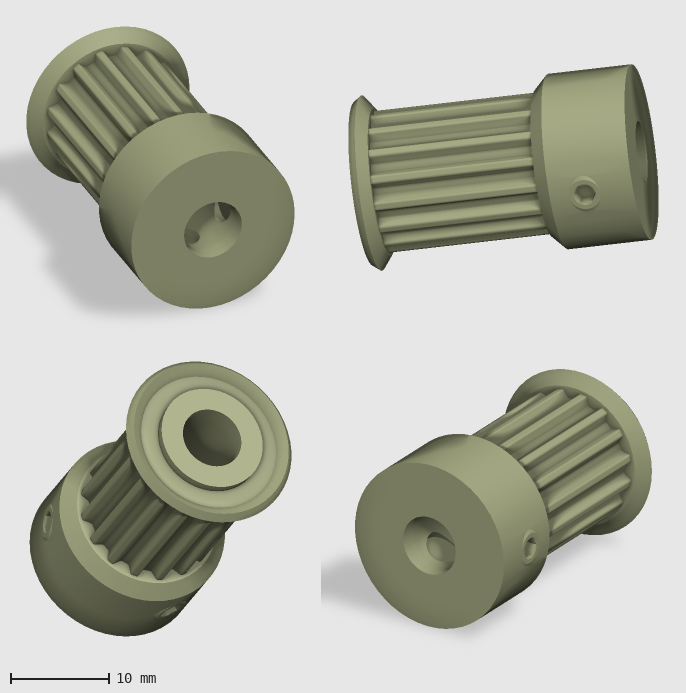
import cadquery as cq
import math


length = 29.0
outer_radius = 18.0 / 2
bore_radius = 6.35 / 2

boss_radius = 11.0 / 2
boss_projection = 0.2
flange_face_radius = 8.4
flange_floor_radius = 7.35
flange_floor_x = 1.05
flange_rim_x = 1.0
flange_back_x = 2.05
flange_back_radius = 7.6

hub_front_x = 18.97
hub_chamfer = 1.4
hub_middle_x = (hub_front_x + length) / 2

tooth_count = 16
tooth_pitch_angle = 360 / tooth_count
tip_radius = 7.25
tip_half_width = 0.2
shoulder_radius = 7.05
shoulder_half_width = 0.45
groove_floor_radius = 6.3
groove_floor_half_width = 0.23
flank_foot_radius = 6.35
flank_foot_half_width = 0.44
tip_round_depth = 0.05
flank_hollow_depth = 0.03
foot_round_depth = 0.015

screw_radius = 4.0 / 2
screw_face_radius = 3.25 / 2
screw_cone_angle = 30
screw_inner_end = 3.34
screw_angles = (0, 240)
socket_across_flats = 2.0
socket_depth = 1.45


def point_from_plane(radius, offset, plane_angle):
    """Point at a radius and a sideways offset from a radial plane at the given angle."""
    angle = math.radians(plane_angle) + math.asin(offset / radius)
    return radius * math.cos(angle), radius * math.sin(angle)


def make_toothed_barrel():
    """Straight-toothed barrel between the flange and the hub."""
    outline = cq.Workplane("YZ", origin=(flange_back_x, 0, 0))
    outline = outline.moveTo(*point_from_plane(groove_floor_radius, -groove_floor_half_width, 0))
    for index in range(tooth_count):
        groove = index * tooth_pitch_angle
        tooth = groove + tooth_pitch_angle / 2
        next_groove = groove + tooth_pitch_angle
        floor_middle = point_from_plane(groove_floor_radius, 0, groove)
        floor_end = point_from_plane(groove_floor_radius, groove_floor_half_width, groove)
        rising_foot = point_from_plane(flank_foot_radius, flank_foot_half_width, groove)
        rising_shoulder = point_from_plane(shoulder_radius, -shoulder_half_width, tooth)
        tip_start = point_from_plane(tip_radius, -tip_half_width, tooth)
        tip_middle = point_from_plane(tip_radius, 0, tooth)
        tip_end = point_from_plane(tip_radius, tip_half_width, tooth)
        falling_shoulder = point_from_plane(shoulder_radius, shoulder_half_width, tooth)
        falling_foot = point_from_plane(flank_foot_radius, -flank_foot_half_width, next_groove)
        next_floor_start = point_from_plane(groove_floor_radius, -groove_floor_half_width, next_groove)
        outline = (
            outline
            .threePointArc(floor_middle, floor_end)
            .sagittaArc(rising_foot, foot_round_depth)
            .sagittaArc(rising_shoulder, flank_hollow_depth)
            .sagittaArc(tip_start, -tip_round_depth)
            .threePointArc(tip_middle, tip_end)
            .sagittaArc(falling_shoulder, -tip_round_depth)
            .sagittaArc(falling_foot, flank_hollow_depth)
            .sagittaArc(next_floor_start, foot_round_depth)
        )
    return outline.close().extrude(hub_front_x - flange_back_x)


def revolve_about_x(points):
    """Solid of revolution about X from (x, radius) points."""
    return cq.Workplane("XY").polyline(points).close().revolve(360, (0, 0, 0), (1, 0, 0))


def make_flange():
    """Flange with a bevelled rim, a dished face and the raised boss."""
    return revolve_about_x([
        (0, 0),
        (0, boss_radius),
        (flange_floor_x, boss_radius),
        (flange_floor_x, flange_floor_radius),
        (boss_projection, flange_face_radius),
        (flange_rim_x, outer_radius),
        (flange_back_x, flange_back_radius),
        (flange_back_x, 0),
    ])


def make_hub():
    """Plain hub, chamfered where it meets the teeth."""
    return revolve_about_x([
        (hub_front_x, 0),
        (hub_front_x, outer_radius - hub_chamfer),
        (hub_front_x + hub_chamfer, outer_radius),
        (length, outer_radius),
        (length, 0),
    ])


def make_screw_blank(inner_end):
    """Chamfered cylinder along +Y, shared by a screw and its hole, ending at the outside of the hub."""
    chamfer_depth = (screw_radius - screw_face_radius) * math.tan(math.radians(screw_cone_angle))
    profile = (
        cq.Workplane("XY", origin=(hub_middle_x, 0, 0))
        .moveTo(0, inner_end)
        .lineTo(screw_radius, inner_end)
        .lineTo(screw_radius, outer_radius - chamfer_depth)
        .lineTo(screw_face_radius, outer_radius)
        .lineTo(0, outer_radius)
        .close()
    )
    return profile.revolve(360, (0, 0, 0), (0, 1, 0))


def make_socket():
    """Hexagon socket cutter along +Y, with a conical countersink as wide as its corners."""
    corner_radius = socket_across_flats / 2 / math.cos(math.radians(30))
    countersink_depth = corner_radius * math.tan(math.radians(screw_cone_angle))
    floor_plane = cq.Plane(
        origin=(hub_middle_x, outer_radius - socket_depth, 0), xDir=(1, 0, 0), normal=(0, 1, 0)
    )
    hexagon = cq.Workplane(floor_plane).polygon(6, 2 * corner_radius).extrude(socket_depth)
    countersink = (
        cq.Workplane("XY", origin=(hub_middle_x, outer_radius, 0))
        .polyline([(0, 0), (corner_radius, 0), (0, -countersink_depth)])
        .close()
        .revolve(360, (0, 0, 0), (0, 1, 0))
    )
    return hexagon.union(countersink)


def turn_about_axis(shape, angle):
    """Turn a shape built along +Y about the X axis."""
    return shape.rotate((0, 0, 0), (1, 0, 0), angle)


def make_pulley():
    """Flange, teeth and hub as one piece, with the bore and the screw holes."""
    pulley = make_flange().union(make_toothed_barrel()).union(make_hub())
    pulley = pulley.cut(cq.Workplane("YZ").circle(bore_radius).extrude(length))
    for angle in screw_angles:
        pulley = pulley.cut(turn_about_axis(make_screw_blank(0), angle))
    return pulley


def make_set_screw(angle):
    """Set screw with a hexagon socket in its outer end."""
    screw = make_screw_blank(screw_inner_end).cut(make_socket())
    return turn_about_axis(screw, angle)


pulley = make_pulley()
set_screws = [make_set_screw(angle).val() for angle in screw_angles]

result = cq.Compound.makeCompound([pulley.val(), *set_screws])